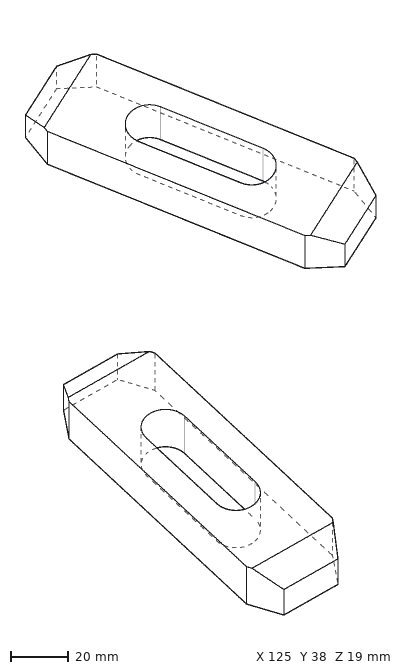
import cadquery as cq
import math

length = 125.0
width = 38.0
height = 19.0

end_width = 24.0
end_height = 13.0
taper_angle = math.radians(30)
side_taper_length = (width - end_width) / 2 / math.tan(taper_angle)
top_taper_length = (height - end_height) / math.tan(taper_angle)

slot_length = 57.0
slot_width = 17.0


def tapered_bar():
    """Bar standing on Z = 0 with its four vertical corners cut back."""
    half_length = length / 2
    half_width = width / 2
    shoulder = half_length - side_taper_length
    return (
        cq.Workplane("XY")
        .moveTo(-half_length, -end_width / 2)
        .lineTo(-shoulder, -half_width)
        .lineTo(shoulder, -half_width)
        .lineTo(half_length, -end_width / 2)
        .lineTo(half_length, end_width / 2)
        .lineTo(shoulder, half_width)
        .lineTo(-shoulder, half_width)
        .lineTo(-half_length, end_width / 2)
        .close()
        .extrude(height)
    )


def side_profile():
    """Full-width block whose top slopes down to both ends."""
    half_length = length / 2
    top_half_length = half_length - top_taper_length
    return (
        cq.Workplane("XZ")
        .moveTo(-half_length, 0)
        .lineTo(half_length, 0)
        .lineTo(half_length, end_height)
        .lineTo(top_half_length, height)
        .lineTo(-top_half_length, height)
        .lineTo(-half_length, end_height)
        .close()
        .extrude(width / 2, both=True)
    )


def slot():
    return cq.Workplane("XY").slot2D(slot_length, slot_width).extrude(height)


result = tapered_bar().intersect(side_profile()).cut(slot())